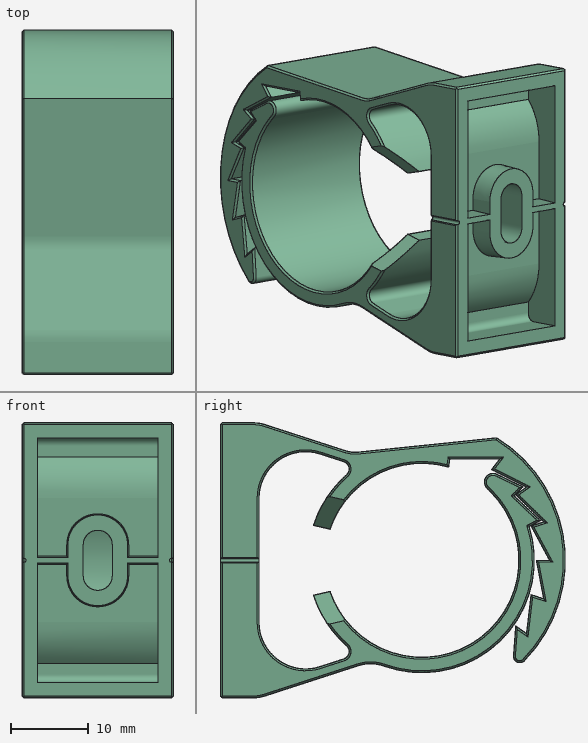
import cadquery as cq
import math

WIDTH = 19.5
BASE_HEIGHT = 35.5
BASE_DEPTH = 5.0
TOTAL_DEPTH = 44.5
EDGE_CHAMFER = 0.25

BORE_RADIUS = 12.5
RING_RADIUS = 14.5
FINGER_RADIUS = 14.7
RING_Y = 26.0
FINGER_TIP_Z = 4.0
FINGER_END_ANGLE = 13.0
FINGER_FLAT_WIDTH = 10.0
FINGER_FLANK_RISE = 4.1

SLOPE_ANGLE = 18.0
WINDOW_RADIUS = 6.0
WINDOW_ARC_Z = 8.0
WINDOW_TIP_FILLET = 1.0
CHEEK_FILLET = 5.0
VALLEY_FILLET = 4.0
TOP_LINE_ANGLE = 5.9

HOOK_RADIUS = TOTAL_DEPTH - RING_Y
HOOK_CORNER_Z = 15.8
ROOF_END_Y = 29.6
ROOF_STEP_ANGLE = 74.0
HOOK_END_Y = 37.65
HOOK_END_FILLET = 0.82
TOOTH_PITCH = 17.5
HOOK_TOOTH_COUNT = 6
HOOK_FIRST_ANGLE = 3 * TOOTH_PITCH
HOOK_TIP_RADIUS = 14.75
HOOK_ROOT_RADIUS = 16.45
ARM_TIP_RADIUS = 16.1
ARM_TOOTH_LEAD = 1.0
ARM_END_FILLET = 1.12
ARM_TANGENT_ANGLE = 45.0

RIM_WALL = 2.0
FLOOR_WALL = 2.0
POCKET_FILLET = 1.0
BOSS_WIDTH = 8.0
SLOT_WIDTH = 3.75
SLOT_TRAVEL = 4.0
RIB_ROOT_THICKNESS = 1.05
RIB_TIP_THICKNESS = 0.75

GROOVE_MOUTH = 0.75
GROOVE_WIDTH = 0.5
GROOVE_DEPTH = 0.5

RING_MID_ANGLE = -45
LOWER_BORE_MID_ANGLE = -60
UPPER_BORE_MID_ANGLE = 120
FINGER_MID_ANGLE = 150
WINDOW_MID_ANGLE = 135

SLOPE = math.tan(math.radians(SLOPE_ANGLE))
HALF_HEIGHT = BASE_HEIGHT / 2
HALF_WIDTH = WIDTH / 2
WINDOW_ARC_Y = BASE_DEPTH + WINDOW_RADIUS
WINDOW_ARC_CENTRE = (WINDOW_ARC_Y, WINDOW_ARC_Z)


def polar(radius, degrees, centre=(RING_Y, 0)):
    """Point on a circle, about the ring axis unless given, with the angle measured from +Y towards +Z."""
    angle = math.radians(degrees)
    return centre[0] + radius * math.cos(angle), centre[1] + radius * math.sin(angle)


def below(point):
    """Mirror a point across the middle of the base."""
    return point[0], -point[1]


def slope_between(p, q):
    return (q[1] - p[1]) / (q[0] - p[0])


def lines_meet(p, p_slope, q, q_slope):
    """Crossing of two lines, each given by a point and a slope."""
    y = (q[1] - p[1] + p_slope * p[0] - q_slope * q[0]) / (p_slope - q_slope)
    return y, p[1] + p_slope * (y - p[0])


def line_meets_ring(point, slope, radius):
    """First point, going +Y, where a line meets a circle about the ring axis."""
    y = point[0] - RING_Y
    a = 1 + slope**2
    b = y + slope * point[1]
    c = y**2 + point[1]**2 - radius**2
    run = (-b - math.sqrt(b**2 - a * c)) / a
    return point[0] + run, point[1] + slope * run


cheek_corner = (BASE_DEPTH, HALF_HEIGHT)
ring_foot = line_meets_ring(cheek_corner, -SLOPE, RING_RADIUS)
hook_corner = polar(HOOK_RADIUS, math.degrees(math.asin(HOOK_CORNER_Z / HOOK_RADIUS)))
cheek_valley = lines_meet(cheek_corner, -SLOPE, hook_corner, math.tan(math.radians(TOP_LINE_ANGLE)))

window_arc_start = (BASE_DEPTH, WINDOW_ARC_Z)
window_arc_mid = polar(WINDOW_RADIUS, WINDOW_MID_ANGLE, WINDOW_ARC_CENTRE)
window_arc_end = polar(WINDOW_RADIUS, 90 - SLOPE_ANGLE, WINDOW_ARC_CENTRE)
window_tip = line_meets_ring(window_arc_end, -SLOPE, FINGER_RADIUS)

finger_inner = (RING_Y - math.sqrt(BORE_RADIUS**2 - FINGER_TIP_Z**2), FINGER_TIP_Z)
finger_mid = polar(FINGER_RADIUS, FINGER_MID_ANGLE)
finger_end_slope = -math.tan(math.radians(FINGER_END_ANGLE))
finger_outer = line_meets_ring(finger_inner, finger_end_slope, FINGER_RADIUS)

arm_teeth = []
for tooth in (1, 2):
    arm_teeth.append(polar(RING_RADIUS, tooth * TOOTH_PITCH))
    arm_teeth.append(polar(ARM_TIP_RADIUS, tooth * TOOTH_PITCH + ARM_TOOTH_LEAD))
arm_back_slope = slope_between(arm_teeth[-1], polar(RING_RADIUS, 3 * TOOTH_PITCH))
arm_tangent = polar(BORE_RADIUS, ARM_TANGENT_ANGLE)
arm_tangent_slope = -1 / math.tan(math.radians(ARM_TANGENT_ANGLE))
arm_end = lines_meet(arm_teeth[-1], arm_back_slope, arm_tangent, arm_tangent_slope)

hook_teeth = []
for tooth in range(HOOK_TOOTH_COUNT):
    tooth_angle = HOOK_FIRST_ANGLE - tooth * TOOTH_PITCH
    hook_teeth.append(polar(HOOK_ROOT_RADIUS, tooth_angle))
    hook_teeth.append(polar(HOOK_TIP_RADIUS, tooth_angle))
roof_end = (ROOF_END_Y, hook_teeth[0][1])
roof_step = polar(BORE_RADIUS, ROOF_STEP_ANGLE)
hook_end = (HOOK_END_Y, -math.sqrt(HOOK_RADIUS**2 - (HOOK_END_Y - RING_Y)**2))


def make_clip_body():
    """Clip extruded across its width, with rounded corners and chamfered sides."""
    profile = (
        cq.Workplane("YZ")
        .moveTo(0, -HALF_HEIGHT)
        .lineTo(*below(cheek_corner))
        .lineTo(*below(ring_foot))
        .threePointArc(polar(RING_RADIUS, RING_MID_ANGLE), arm_teeth[0])
        .polyline(arm_teeth[1:] + [arm_end, arm_tangent], includeCurrent=True)
        .threePointArc(polar(BORE_RADIUS, LOWER_BORE_MID_ANGLE), below(finger_inner))
        .lineTo(*below(finger_outer))
        .threePointArc(below(finger_mid), below(window_tip))
        .lineTo(*below(window_arc_end))
        .threePointArc(below(window_arc_mid), below(window_arc_start))
        .lineTo(*window_arc_start)
        .threePointArc(window_arc_mid, window_arc_end)
        .lineTo(*window_tip)
        .threePointArc(finger_mid, finger_outer)
        .lineTo(*finger_inner)
        .threePointArc(polar(BORE_RADIUS, UPPER_BORE_MID_ANGLE), roof_step)
        .polyline([roof_end] + hook_teeth + [hook_end], includeCurrent=True)
        .threePointArc(polar(HOOK_RADIUS, 0), hook_corner)
        .lineTo(*cheek_valley)
        .lineTo(*cheek_corner)
        .lineTo(0, HALF_HEIGHT)
        .close()
    )
    body = profile.extrude(HALF_WIDTH, both=True)

    rounded_corners = [
        (cheek_corner, CHEEK_FILLET),
        (below(cheek_corner), CHEEK_FILLET),
        (cheek_valley, VALLEY_FILLET),
        (below(ring_foot), CHEEK_FILLET),
        (window_tip, WINDOW_TIP_FILLET),
        (below(window_tip), WINDOW_TIP_FILLET),
        (arm_end, ARM_END_FILLET),
        (hook_end, HOOK_END_FILLET),
    ]
    for corner, radius in rounded_corners:
        body = body.edges(cq.NearestToPointSelector((0, *corner))).fillet(radius)

    body = body.faces("<X or >X").edges().chamfer(EDGE_CHAMFER)
    return body.faces("<Y").edges("|X").chamfer(EDGE_CHAMFER)


def make_finger_flank():
    """Wedge that bevels the +X corner of the upper finger tip."""
    end_angle = math.radians(FINGER_END_ANGLE)
    along_end = (0, -math.cos(end_angle), math.sin(end_angle))
    tip_plane = cq.Plane(origin=(0, *finger_inner), xDir=(1, 0, 0), normal=along_end)
    flat_half = FINGER_FLAT_WIDTH / 2
    return (
        cq.Workplane(tip_plane)
        .polyline([(flat_half, 0), (HALF_WIDTH, FINGER_FLANK_RISE), (HALF_WIDTH, 0)])
        .close()
        .extrude(2 * (FINGER_RADIUS - BORE_RADIUS), both=True)
    )


def make_pocket():
    """Hollow of the base; its floor keeps an even wall around the window arcs."""
    pocket_half = HALF_HEIGHT - RIM_WALL
    floor_radius = WINDOW_RADIUS + FLOOR_WALL
    floor_y = BASE_DEPTH - FLOOR_WALL
    shelf_y = BASE_DEPTH
    bend_sweep = math.acos((WINDOW_ARC_Y - shelf_y) / floor_radius)
    shelf_z = WINDOW_ARC_Z + floor_radius * math.sin(bend_sweep)
    bend_angle = 180 - math.degrees(bend_sweep) / 2
    floor_bend = polar(floor_radius, bend_angle, WINDOW_ARC_CENTRE)
    pocket = (
        cq.Workplane("YZ")
        .moveTo(0, -pocket_half)
        .lineTo(shelf_y, -pocket_half)
        .lineTo(shelf_y, -shelf_z)
        .threePointArc(below(floor_bend), (floor_y, -WINDOW_ARC_Z))
        .lineTo(floor_y, WINDOW_ARC_Z)
        .threePointArc(floor_bend, (shelf_y, shelf_z))
        .lineTo(shelf_y, pocket_half)
        .lineTo(0, pocket_half)
        .close()
        .extrude(HALF_WIDTH - RIM_WALL, both=True)
    )
    for z in (-pocket_half, pocket_half):
        pocket = pocket.edges(cq.NearestToPointSelector((0, shelf_y, z))).fillet(POCKET_FILLET)
    return pocket


def make_boss_and_ribs():
    """Drafted oblong boss and side ribs, wider at the pocket floor than at the mounting face."""
    floor_y = BASE_DEPTH - FLOOR_WALL
    root_plane = cq.Workplane("XZ", origin=(0, floor_y, 0))
    draft = math.degrees(math.atan((RIB_ROOT_THICKNESS - RIB_TIP_THICKNESS) / 2 / floor_y))
    boss = root_plane.slot2D(BOSS_WIDTH + SLOT_TRAVEL, BOSS_WIDTH, 90).extrude(floor_y, taper=draft)
    rib = (
        cq.Workplane("YZ")
        .polyline([
            (0, -RIB_TIP_THICKNESS / 2),
            (floor_y, -RIB_ROOT_THICKNESS / 2),
            (floor_y, RIB_ROOT_THICKNESS / 2),
            (0, RIB_TIP_THICKNESS / 2),
        ])
        .close()
        .extrude(HALF_WIDTH - RIM_WALL, both=True)
    )
    return boss.union(rib)


def make_screw_slot():
    """Oblong screw slot through the boss and the pocket floor."""
    return (
        cq.Workplane("XZ")
        .slot2D(SLOT_WIDTH + SLOT_TRAVEL, SLOT_WIDTH, 90)
        .extrude(-BASE_DEPTH)
    )


def make_side_groove():
    """Round-bottomed groove with a flared mouth, along the middle of the +X side of the base."""
    mouth_half = GROOVE_MOUTH / 2
    half = GROOVE_WIDTH / 2
    flare_x = HALF_WIDTH - (mouth_half - half)
    bottom_x = HALF_WIDTH - GROOVE_DEPTH
    return (
        cq.Workplane("XZ")
        .moveTo(HALF_WIDTH, -mouth_half)
        .lineTo(flare_x, -half)
        .lineTo(bottom_x + half, -half)
        .threePointArc((bottom_x, 0), (bottom_x + half, half))
        .lineTo(flare_x, half)
        .lineTo(HALF_WIDTH, mouth_half)
        .close()
        .extrude(-BASE_DEPTH)
    )


result = make_clip_body()

flanks = make_finger_flank()
flanks = flanks.union(flanks.mirror("YZ"))
flanks = flanks.union(flanks.mirror("XY"))
result = result.cut(flanks)

result = result.cut(make_pocket()).union(make_boss_and_ribs()).cut(make_screw_slot())

groove = make_side_groove()
result = result.cut(groove).cut(groove.mirror("YZ"))